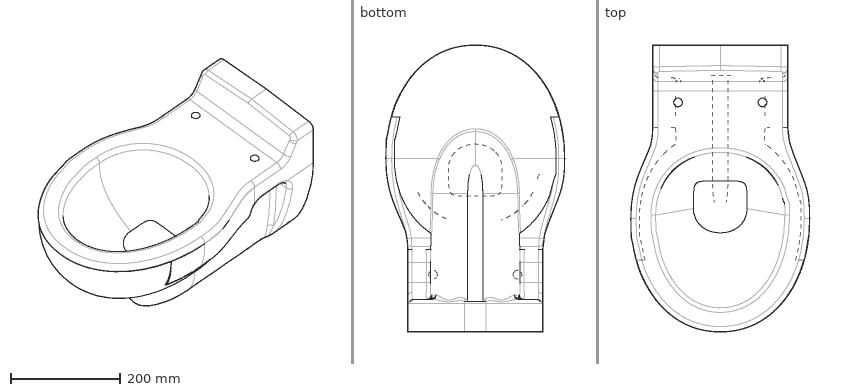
import cadquery as cq
import math


TOTAL_REACH = 526.43
TOTAL_HEIGHT = 335.19
BOWL_HALF_WIDTH = 164.2
NECK_HALF_WIDTH = 124.0

RIM_HEIGHT = 284.4
RIM_EDGE_RADIUS = 10.0
RIM_THICKNESS = 11.4
RIM_BASE = RIM_HEIGHT - RIM_THICKNESS
NECK_REACH = 151.0
BOWL_CENTRE = 318.0
BOWL_FRONT = TOTAL_REACH - BOWL_CENTRE
FLARE_POINTS = [(136.0, 204.0), (155.6, 254.0)]

BACKREST_SIDE_HEIGHT = 331.0
BACKREST_CORNER_RADIUS = 13.0
BACKREST_FOOT_REACH = 72.8
BACKREST_SLOPE = 60.0
BACKREST_COVE_RADIUS = 20.0

SKIRT_BASE = 200.5
SKIRT_REACH = 394.0
SKIRT_STANDOUT = 2.0
SKIRT_STEPS = 4
EDGE_ROUND = 8.0

SLAB_REACH = 60.0
ARCH_SPRING = 202.0
ARCH_RADIUS = 31.0
ARCH_FLAT = 36.5
ARCH_EXIT_REACH = 172.0

SLAB_TOP = 233.0
SLAB_POINTS = [(112.0, 147.0), (84.5, 69.0), (58.5, 31.0), (37.0, 8.0), (20.0, 0.0)]

BOWL_DEPTH = 163.0
BOWL_BACK = 172.0
BOWL_INSET = 1.0
BOWL_COVE_RADIUS = 6.0
PLAN_EXPONENT = 2.1
SIDE_EXPONENT = 2.1
FRONT_EXPONENT = 2.35
BOWL_LEVELS = [0.0, 0.2, 0.4, 0.6, 0.75, 0.87, 0.95, 0.985, 0.998]

OPENING_HALF_WIDTH = 118.5
OPENING_CENTRE = 312.0
OPENING_BACK_REACH = 197.0
OPENING_FRONT_REACH = 482.0
OPENING_EDGE_RADIUS = 8.5
OPENING_STEPS = 4
FLOOR_HEIGHT = 140.0
FLOOR_HALF_WIDTH = 49.0
FLOOR_CENTRE = 300.0
FLOOR_BACK_REACH = 249.4
FLOOR_FRONT_REACH = 344.5
FLOOR_BACK_EXPONENT = 7.0
CAVITY_EXPONENT = 2.3
CAVITY_STEPS = 6

PEDESTAL_HALF_WIDTH = 80.0
PEDESTAL_LEVELS = [
    (1.0, 14.0, 306.0),
    (10.0, 34.0, 332.0),
    (30.0, 55.0, 345.5),
    (61.0, 68.5, 355.0),
    (95.0, 74.5, 364.5),
    (130.0, 77.7, 371.0),
    (180.0, 79.5, 379.0),
    (235.0, PEDESTAL_HALF_WIDTH, 384.0),
]
PEDESTAL_COVE_RADIUS = 8.0
PEDESTAL_BACK_REACH = 30.0
PEDESTAL_NOSE_START = 254.0

SEAT_HOLE_DIAMETER = 16.0
SEAT_HOLE_HALF_SPACING = 77.5
SEAT_HOLE_REACH = 105.3
SEAT_HOLE_DEPTH = 40.0

WIDE = 2 * BOWL_HALF_WIDTH
MARGIN = 1.0


def superellipse(fraction, exponent):
    """Remaining size (0..1) of a superellipse at a fraction of its half length."""
    return (1 - fraction ** exponent) ** (1 / exponent)


def mirrored(points):
    """Points mirrored in the plane of symmetry, in reverse order."""
    return [(-x, y) for x, y in reversed(points)]


def between(near, far, low, high):
    """Selector for edges whose centre lies in a range of reach and of height."""
    return cq.selectors.BoxSelector((-WIDE, -far, low), (WIDE, -near, high))


def egg_half(half_width, length, centre, exponent=PLAN_EXPONENT, steps=8):
    """Plan points (x, y) of a half egg from the right side over the front tip to the left."""
    right = []
    for i in range(steps):
        angle = math.pi / 2 * i / steps
        x = half_width * math.cos(angle) ** (2 / exponent)
        right.append((x, -centre - length * math.sin(angle) ** (2 / exponent)))
    return right + [(0, -centre - length)] + mirrored(right)


def egg(z, half_width, front, back, centre, back_exponent=PLAN_EXPONENT):
    """Closed egg outline at height z, made of a front and a back half."""
    front_half = egg_half(half_width, front, centre)
    back_half = [(x, -2 * centre - y) for x, y in egg_half(half_width, back, centre, back_exponent)]
    back_half.reverse()
    return (
        cq.Workplane("XY", origin=(0, 0, z))
        .moveTo(*front_half[0])
        .spline(front_half[1:], tangents=[(0, -1), (0, 1)], includeCurrent=True)
        .spline(back_half[1:], tangents=[(0, 1), (0, -1)], includeCurrent=True)
        .close()
        .wires()
        .val()
    )


def rim_plate():
    """Flat rim plate with straight neck, flared shoulders and egg-shaped front."""
    flare = [(x, -d) for x, d in FLARE_POINTS] + [(BOWL_HALF_WIDTH, -BOWL_CENTRE)]
    neck_end = (NECK_HALF_WIDTH, -NECK_REACH)
    left_flare = mirrored([neck_end] + flare)
    front = egg_half(BOWL_HALF_WIDTH, BOWL_FRONT, BOWL_CENTRE)
    return (
        cq.Workplane("XY", origin=(0, 0, RIM_BASE))
        .moveTo(NECK_HALF_WIDTH, 0)
        .lineTo(*neck_end)
        .spline(flare, tangents=[(0, -1), (0, -1)], includeCurrent=True)
        .spline(front[1:], tangents=[(0, -1), (0, 1)], includeCurrent=True)
        .spline(left_flare[1:], tangents=[(0, 1), (0, 1)], includeCurrent=True)
        .lineTo(-NECK_HALF_WIDTH, 0)
        .close()
        .extrude(RIM_HEIGHT - RIM_BASE)
    )


def backrest():
    """Raised block against the wall with a sloping front that coves into the rim."""
    slope = math.radians(BACKREST_SLOPE)
    cove_length = BACKREST_COVE_RADIUS * math.tan(slope / 2)
    crest_reach = BACKREST_FOOT_REACH - (TOTAL_HEIGHT - RIM_HEIGHT) / math.tan(slope)
    cove_start = (-BACKREST_FOOT_REACH - cove_length, RIM_HEIGHT)
    cove_end = (-BACKREST_FOOT_REACH + cove_length * math.cos(slope),
                RIM_HEIGHT + cove_length * math.sin(slope))
    centre_z = RIM_HEIGHT + BACKREST_COVE_RADIUS
    cove_middle = (cove_start[0] + BACKREST_COVE_RADIUS * math.sin(slope / 2),
                   centre_z - BACKREST_COVE_RADIUS * math.cos(slope / 2))
    side = (
        cq.Workplane("YZ", origin=(-NECK_HALF_WIDTH, 0, 0))
        .moveTo(0, RIM_BASE)
        .lineTo(cove_start[0], RIM_BASE)
        .lineTo(*cove_start)
        .threePointArc(cove_middle, cove_end)
        .lineTo(-crest_reach, TOTAL_HEIGHT)
        .lineTo(0, TOTAL_HEIGHT)
        .close()
        .extrude(2 * NECK_HALF_WIDTH)
    )
    gable = (
        cq.Workplane("XZ")
        .moveTo(-NECK_HALF_WIDTH, RIM_BASE)
        .lineTo(NECK_HALF_WIDTH, RIM_BASE)
        .lineTo(NECK_HALF_WIDTH, BACKREST_SIDE_HEIGHT)
        .lineTo(0, TOTAL_HEIGHT)
        .lineTo(-NECK_HALF_WIDTH, BACKREST_SIDE_HEIGHT)
        .close()
        .extrude(TOTAL_REACH)
        .edges("|Y and (>X or <X) and (not <Z)")
        .fillet(BACKREST_CORNER_RADIUS)
    )
    return side.intersect(gable)


def upper_body():
    """Rim plate and backrest with one rounded edge running all the way round."""
    body = rim_plate().union(backrest()).clean()
    seat = body.faces(between(NECK_REACH, TOTAL_REACH, RIM_HEIGHT - MARGIN, RIM_HEIGHT + MARGIN))
    return seat.edges("<Y").fillet(RIM_EDGE_RADIUS)


def skirt_outline(step):
    """Plan of the skirt at one of its levels; it follows the bowl and stands out a little below."""
    progress = step / SKIRT_STEPS
    z = RIM_BASE + (SKIRT_BASE - RIM_BASE) * progress
    level = (RIM_BASE - z) / BOWL_DEPTH
    standout = SKIRT_STANDOUT * progress
    half_width = BOWL_HALF_WIDTH * superellipse(level, SIDE_EXPONENT) + standout
    length = BOWL_FRONT * superellipse(level, FRONT_EXPONENT) + standout
    flare_scale = (half_width - NECK_HALF_WIDTH) / (BOWL_HALF_WIDTH - NECK_HALF_WIDTH)

    def egg_point(reach):
        return (half_width * superellipse((reach - BOWL_CENTRE) / length, PLAN_EXPONENT), -reach)

    neck_end = (NECK_HALF_WIDTH, -NECK_REACH)
    flare = [(NECK_HALF_WIDTH + (x - NECK_HALF_WIDTH) * flare_scale, -d) for x, d in FLARE_POINTS]
    flare.append((half_width, -BOWL_CENTRE))
    egg_length = SKIRT_REACH - BOWL_CENTRE
    egg_part = [egg_point(BOWL_CENTRE + egg_length * i / SKIRT_STEPS) for i in range(1, SKIRT_STEPS + 1)]
    left_egg = mirrored(flare[-1:] + egg_part)
    left_flare = mirrored([neck_end] + flare)
    return (
        cq.Workplane("XY", origin=(0, 0, z))
        .moveTo(*neck_end)
        .spline(flare, tangents=[(0, -1), (0, -1)], includeCurrent=True)
        .spline(egg_part, includeCurrent=True)
        .lineTo(*left_egg[0])
        .spline(left_egg[1:], includeCurrent=True)
        .spline(left_flare[1:], tangents=[(0, 1), (0, 1)], includeCurrent=True)
        .close()
        .wires()
        .val()
    )


def arch_void():
    """Space below the neck: an arch that runs out into the flat skirt base."""
    first_centre = SLAB_REACH + ARCH_RADIUS
    second_centre = first_centre + ARCH_FLAT
    run = ARCH_EXIT_REACH - second_centre
    drop = ARCH_SPRING - SKIRT_BASE
    exit_radius = (run ** 2 + drop ** 2 - ARCH_RADIUS ** 2) / (2 * (ARCH_RADIUS + drop))
    lean = math.atan2(exit_radius - drop, run)
    crown = ARCH_SPRING + ARCH_RADIUS

    def on_arch(centre, angle):
        """Point on an arch circle, angle measured up from the front."""
        return (-centre - ARCH_RADIUS * math.cos(angle), ARCH_SPRING + ARCH_RADIUS * math.sin(angle))

    exit_half = (lean + math.pi / 2) / 2
    exit_middle = (-ARCH_EXIT_REACH + exit_radius * math.cos(exit_half),
                   SKIRT_BASE + exit_radius - exit_radius * math.sin(exit_half))
    return (
        cq.Workplane("YZ", origin=(-WIDE, 0, 0))
        .moveTo(-SLAB_REACH, -MARGIN)
        .lineTo(-SLAB_REACH, ARCH_SPRING)
        .threePointArc(on_arch(first_centre, 3 * math.pi / 4), (-first_centre, crown))
        .lineTo(-second_centre, crown)
        .threePointArc(on_arch(second_centre, exit_half), on_arch(second_centre, lean))
        .threePointArc(exit_middle, (-ARCH_EXIT_REACH, SKIRT_BASE))
        .lineTo(-ARCH_EXIT_REACH, -MARGIN)
        .close()
        .extrude(2 * WIDE)
    )


def right_neck_and_slab():
    """Right half of the straight neck and wall slab, curving in from the neck width to a narrow base."""
    return (
        cq.Workplane("XZ")
        .moveTo(0, RIM_BASE)
        .lineTo(NECK_HALF_WIDTH, RIM_BASE)
        .lineTo(NECK_HALF_WIDTH, SLAB_TOP)
        .spline(SLAB_POINTS, tangents=[(0, -1), (-1, 0)], includeCurrent=True)
        .lineTo(0, 0)
        .close()
        .extrude(NECK_REACH)
        .cut(arch_void())
    )


def lower_frame():
    """Neck, slab and pedestal, with the front edge rounded and the pedestal coved into it."""
    arch_edges = between(SLAB_REACH - MARGIN, NECK_REACH - MARGIN / 10, MARGIN, SLAB_TOP + MARGIN)
    outer_limit = (PEDESTAL_HALF_WIDTH + NECK_HALF_WIDTH) / 2
    inner_limit = PEDESTAL_HALF_WIDTH / 3

    neck = right_neck_and_slab()
    outer_edges = neck.edges(arch_edges).edges("not |X")
    neck = outer_edges.filter(lambda edge: edge.Center().x > inner_limit).fillet(EDGE_ROUND)

    right_side = cq.Workplane("XY").box(WIDE, 3 * TOTAL_REACH, 3 * TOTAL_HEIGHT,
                                        centered=(False, True, True))
    half = neck.union(pedestal().intersect(right_side))
    root_edges = half.edges(arch_edges).edges("not |X")
    root_edges = root_edges.filter(lambda edge: inner_limit < edge.Center().x < outer_limit)
    return root_edges.fillet(PEDESTAL_COVE_RADIUS).mirror("YZ", union=True)


def bowl_on_frame():
    """Bowl joined to the frame, with a cove where it meets the pedestal."""
    body = lower_frame().union(bowl())
    back_limit = BOWL_CENTRE - BOWL_BACK + 2 * EDGE_ROUND
    front_limit = BOWL_CENTRE + BOWL_BACK
    seam = body.edges(between(back_limit, front_limit, RIM_BASE - BOWL_DEPTH, SLAB_TOP - EDGE_ROUND))
    seam = seam.filter(lambda edge: abs(edge.Center().x) < PEDESTAL_HALF_WIDTH)
    return seam.fillet(BOWL_COVE_RADIUS)


def skirt():
    """Skirt below the rim with its lower edges rounded."""
    wires = [skirt_outline(step) for step in range(SKIRT_STEPS + 1)]
    body = cq.Workplane(cq.Solid.makeLoft(wires)).cut(arch_void())
    zone = between(NECK_REACH + MARGIN, SKIRT_REACH - MARGIN, SKIRT_BASE - MARGIN, SLAB_TOP)
    lower_sides = body.edges(zone)
    lower_sides = lower_sides.filter(lambda edge: abs(edge.Center().x) > NECK_HALF_WIDTH - MARGIN)
    return lower_sides.fillet(EDGE_ROUND)


def pedestal():
    """Foot with flat sides and a rounded nose, tapering down to the base."""
    wires = []
    for z, half_width, nose in PEDESTAL_LEVELS:
        section = (
            cq.Workplane("XY", origin=(0, 0, z))
            .moveTo(half_width, -PEDESTAL_BACK_REACH)
            .lineTo(half_width, -PEDESTAL_NOSE_START)
        )
        length = nose - PEDESTAL_NOSE_START
        tip = egg_half(half_width, length, PEDESTAL_NOSE_START)
        section = section.spline(tip[1:], tangents=[(0, -1), (0, 1)], includeCurrent=True)
        section = section.lineTo(-half_width, -PEDESTAL_BACK_REACH).close()
        wires.append(section.wires().val())
    return cq.Workplane(cq.Solid.makeLoft(wires))


def bowl():
    """Outside of the bowl: an egg-shaped dome hanging down from the rim."""
    wires = []
    for level in BOWL_LEVELS:
        half_width = (BOWL_HALF_WIDTH - BOWL_INSET) * superellipse(level, SIDE_EXPONENT)
        end_scale = superellipse(level, FRONT_EXPONENT)
        wires.append(egg(RIM_BASE - BOWL_DEPTH * level, half_width, BOWL_FRONT * end_scale,
                         BOWL_BACK * end_scale, BOWL_CENTRE))
    return cq.Workplane(cq.Solid.makeLoft(wires))


def cavity():
    """Inside of the bowl: a rounded opening that narrows to a small flat floor."""
    throat = RIM_HEIGHT - OPENING_EDGE_RADIUS
    opening_front = OPENING_FRONT_REACH - OPENING_CENTRE
    opening_back = OPENING_CENTRE - OPENING_BACK_REACH

    flare_wires = []
    for step in range(OPENING_STEPS + 1):
        angle = math.pi / 2 * step / OPENING_STEPS
        growth = OPENING_EDGE_RADIUS * (1 - math.cos(angle))
        flare_wires.append(egg(throat + OPENING_EDGE_RADIUS * math.sin(angle), OPENING_HALF_WIDTH + growth,
                               opening_front + growth, opening_back + growth, OPENING_CENTRE))

    bowl_wires = []
    for step in range(CAVITY_STEPS + 1):
        depth = step / CAVITY_STEPS
        narrowing = depth ** CAVITY_EXPONENT

        def blend(at_opening, at_floor):
            return at_opening + (at_floor - at_opening) * narrowing

        bowl_wires.append(egg(
            throat + (FLOOR_HEIGHT - throat) * depth,
            blend(OPENING_HALF_WIDTH, FLOOR_HALF_WIDTH),
            blend(opening_front, FLOOR_FRONT_REACH - FLOOR_CENTRE),
            blend(opening_back, FLOOR_CENTRE - FLOOR_BACK_REACH),
            blend(OPENING_CENTRE, FLOOR_CENTRE),
            blend(PLAN_EXPONENT, FLOOR_BACK_EXPONENT),
        ))
    flare = cq.Workplane(cq.Solid.makeLoft(flare_wires))
    return flare.union(cq.Workplane(cq.Solid.makeLoft(bowl_wires)))


def seat_holes():
    """Two blind holes for fixing the seat."""
    spots = [(s * SEAT_HOLE_HALF_SPACING, -SEAT_HOLE_REACH) for s in (-1, 1)]
    return (
        cq.Workplane("XY", origin=(0, 0, RIM_HEIGHT))
        .pushPoints(spots)
        .circle(SEAT_HOLE_DIAMETER / 2)
        .extrude(-SEAT_HOLE_DEPTH)
    )


outside = bowl_on_frame().union(skirt()).union(upper_body())
toilet = outside.cut(cavity()).cut(seat_holes())
result = toilet.solids()